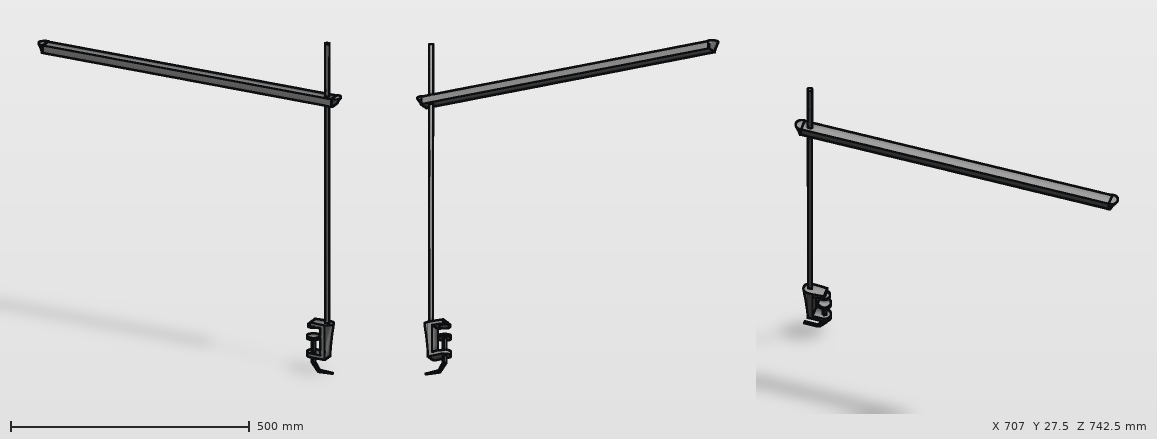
import cadquery as cq


clamp_width = 27.5
clamp_height = 78.0
arm_thickness = 9.0
post_front = -10.0
post_thickness = 10.5
upper_arm_end = -34.0
upper_arm_end_width = 24.0
buttress_depth = 13.0
pad_radius = 12.0
pad_thickness = 3.0

screw_x = -32.0
screw_length_x = 10.0
screw_width_y = 6.0
disc_radius = clamp_width / 2
disc_thickness = 5.0
disc_top = 44.5
handle_bend_z = -15.5
handle_end_x = 12.0
handle_end_height = 2.0
handle_elbow_x = -19.0
handle_elbow_lean = 1.5
handle_elbow_z = -33.0
handle_elbow_half_height = 3.0

rod_width = 10.0
rod_foot_thickness = 1.0
rod_top = 706.5

lamp_length = 707.0
lamp_width = 27.0
lamp_height = 18.0
lamp_top = 589.0
lamp_right_end = 31.0
lamp_cap_depth = 13.0
lamp_cap_rim = 2.0
lamp_bar_inset = 1.0

thin_edge = 0.4


def half_round_wire(width, depth, z):
    """Closed half-ellipse in plan: straight along Y at X = 0, bulging toward +X."""
    return (
        cq.Workplane("XY", origin=(0, 0, z))
        .moveTo(0, -width / 2)
        .ellipseArc(depth, width / 2, -90, 90, startAtCurrent=True)
        .close()
        .val()
    )


def tapered_half_round(width, depth, bottom, top):
    """Half-round end, full depth at the top and running out at the bottom."""
    lower = half_round_wire(width, thin_edge, bottom)
    upper = half_round_wire(width, depth, top)
    return cq.Workplane(cq.Solid.makeLoft([lower, upper], True))


def diamond_wire(outer, inner):
    """Diamond section between two (X, Z) corners, with its other corners toward -Y and +Y."""
    middle_x = (outer[0] + inner[0]) / 2
    middle_z = (outer[1] + inner[1]) / 2
    corners = [
        (outer[0], 0, outer[1]),
        (middle_x, screw_width_y / 2, middle_z),
        (inner[0], 0, inner[1]),
        (middle_x, -screw_width_y / 2, middle_z),
    ]
    return cq.Wire.makePolygon([cq.Vector(*corner) for corner in corners], close=True)


def screw_shank():
    """Straight diamond-section length from the handle bend up to the disc."""
    section = diamond_wire(
        (screw_x - screw_length_x / 2, handle_bend_z), (screw_x + screw_length_x / 2, handle_bend_z)
    )
    length = disc_top - disc_thickness - handle_bend_z
    return cq.Workplane(cq.Solid.extrudeLinear(section, [], cq.Vector(0, 0, length)))


def make_clamp():
    post = cq.Workplane("XY").box(
        post_thickness, clamp_width, clamp_height, centered=(False, True, False)
    ).translate((post_front, 0, 0))

    buttress = tapered_half_round(clamp_width, buttress_depth, 0, clamp_height)
    buttress = buttress.translate((post_front + post_thickness, 0, 0))

    lower_arm = (
        cq.Workplane("XY")
        .moveTo(post_front, -clamp_width / 2)
        .lineTo(screw_x, -clamp_width / 2)
        .threePointArc((screw_x - clamp_width / 2, 0), (screw_x, clamp_width / 2))
        .lineTo(post_front, clamp_width / 2)
        .close()
        .extrude(arm_thickness)
    )

    upper_arm_bottom = clamp_height - arm_thickness
    upper_arm = (
        cq.Workplane("XY", origin=(0, 0, upper_arm_bottom))
        .polyline([
            (post_front, -clamp_width / 2),
            (upper_arm_end, -upper_arm_end_width / 2),
            (upper_arm_end, upper_arm_end_width / 2),
            (post_front, clamp_width / 2),
        ])
        .close()
        .extrude(arm_thickness)
    )
    pad = (
        cq.Workplane("XY", origin=(screw_x, 0, upper_arm_bottom))
        .circle(pad_radius)
        .extrude(-pad_thickness)
    )
    clamp = post.union(buttress).union(lower_arm).union(upper_arm).union(pad)
    return clamp.cut(screw_shank())


def make_screw():
    disc = (
        cq.Workplane("XY", origin=(screw_x, 0, disc_top))
        .circle(disc_radius)
        .extrude(-disc_thickness)
    )
    handle_top = diamond_wire(
        (screw_x - screw_length_x / 2, handle_bend_z), (screw_x + screw_length_x / 2, handle_bend_z)
    )
    elbow = diamond_wire(
        (handle_elbow_x - handle_elbow_lean, handle_elbow_z - handle_elbow_half_height),
        (handle_elbow_x + handle_elbow_lean, handle_elbow_z + handle_elbow_half_height),
    )
    handle_end = diamond_wire(
        (handle_end_x, handle_elbow_z - handle_end_height / 2),
        (handle_end_x, handle_elbow_z + handle_end_height / 2),
    )
    slope = cq.Workplane(cq.Solid.makeLoft([handle_top, elbow], True))
    grip = cq.Workplane(cq.Solid.makeLoft([elbow, handle_end], True))
    return screw_shank().union(disc).union(slope).union(grip)


def make_rod():
    return (
        cq.Workplane("XY", origin=(0, 0, clamp_height))
        .ellipse(rod_width / 2, rod_foot_thickness / 2)
        .workplane(offset=rod_top - clamp_height)
        .ellipse(rod_width / 2, rod_width / 2)
        .loft(ruled=True)
    )


def make_lamp_cap(bottom):
    """Right-hand end cap: a rectangular rim behind X = 0 and a tapered half-round nose."""
    rim = cq.Workplane("XY").box(
        lamp_cap_rim, lamp_width, lamp_height, centered=(False, True, False)
    ).translate((-lamp_cap_rim, 0, bottom))
    nose = tapered_half_round(lamp_width, lamp_cap_depth, bottom, lamp_top)
    return rim.union(nose)


def make_lamp(rod):
    bottom = lamp_top - lamp_height
    right_face = lamp_right_end - lamp_cap_depth
    left_face = lamp_right_end - lamp_length + lamp_cap_depth
    bar = cq.Workplane("XY").box(
        right_face - left_face,
        lamp_width - 2 * lamp_bar_inset,
        lamp_height - lamp_bar_inset,
        centered=(False, True, False),
    ).translate((left_face, 0, bottom))
    cap = make_lamp_cap(bottom)
    right_cap = cap.translate((right_face, 0, 0))
    left_cap = cap.mirror("YZ").translate((left_face, 0, 0))
    return bar.union(right_cap).union(left_cap).cut(rod)


clamp = make_clamp()
screw = make_screw()
rod = make_rod()
lamp = make_lamp(rod)

bodies = [clamp, screw, rod, lamp]
result = cq.Compound.makeCompound([body.solids().val() for body in bodies])